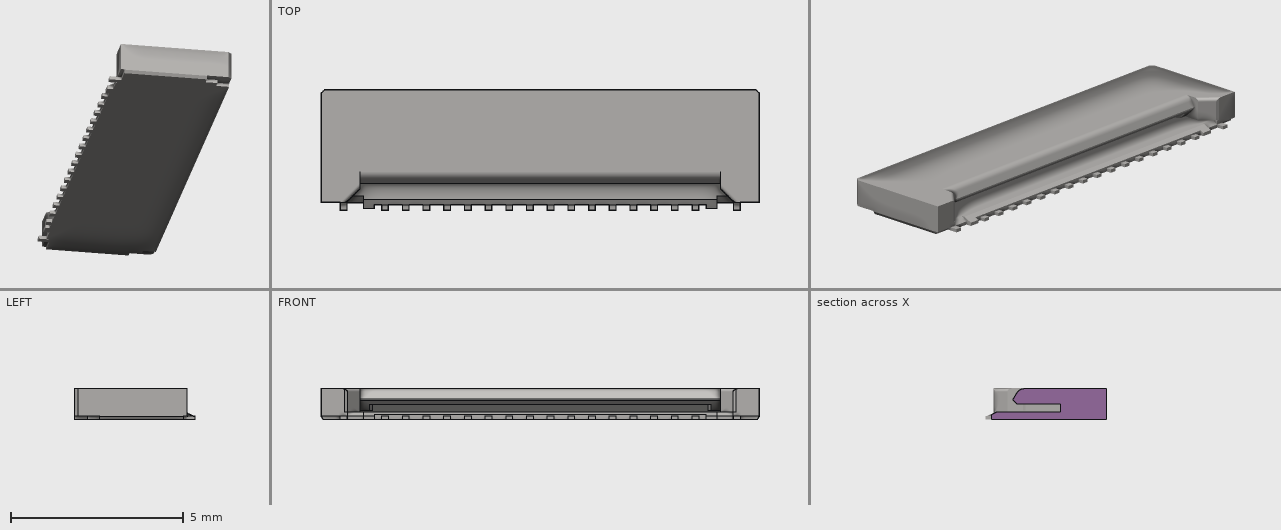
import cadquery as cq
import math

length = 12.7
depth = 3.5
height = 0.9
back_y = depth / 2
tip_y = -depth / 2

base_thickness = 0.1
tail_projection = 0.23
front_y = tip_y + tail_projection
back_corner_chamfer = 0.1

mouth_half_width = 5.22
funnel_depth = 0.37
flare_half_width = mouth_half_width + funnel_depth
funnel_relief = 0.08
funnel_relief_depth = 0.03
funnel_top_radius = 0.1
funnel_inner_y = front_y + funnel_depth + funnel_relief_depth
floor_z = 0.22

lip_tip_y = -0.965
lip_tip_top_z = 0.595
lip_tip_bottom_z = 0.555
lip_back_y = -0.64
lip_radius = 0.25
lip_arc_angle = math.radians(60)
ceiling_z = 0.44
ceiling_y = lip_tip_y + lip_tip_bottom_z - ceiling_z

slot_half_width = 4.87
slot_back_y = 0.4
guide_gap_z = 0.26
guide_chamfer = 0.08
guide_bottom_y = ceiling_y + ceiling_z - guide_gap_z
guide_taper_y = guide_bottom_y + guide_chamfer

tongue_half_width = 5.13
tongue_slope_y = -1.44
tongue_front_y = -1.7
tongue_middle_y = -1.59
tongue_middle_half_width = 4.81
side_slope_y = -1.34

base_front_y = -1.41
base_bevel_width = 0.05
base_bevel_height = 0.09
sill_projection = 0.01
rear_strip_y = 1.37
rear_step_y = 1.02
rear_strip_half_width = 5.9
rear_step_half_width = 6.1

tail_count = 16
tail_pitch = 0.6
tail_width = 0.2
nail_x = 5.7


def block(x_half, y_min, y_max, z_min, z_max):
    """Box centred on X = 0."""
    size = (2 * x_half, y_max - y_min, z_max - z_min)
    return cq.Workplane("XY").box(*size, centered=(True, False, False)).translate((0, y_min, z_min))


def extrude_along_x(sketch, half_width):
    """Extrude a closed YZ outline symmetrically about X = 0."""
    return sketch.close().extrude(half_width, both=True)


def extrude_mirrored(right_side, z_min, z_max):
    """Extrude upward a plan outline given by its right half and mirrored about X = 0."""
    left_side = [(-x, y) for x, y in reversed(right_side)]
    outline = cq.Workplane("XY", origin=(0, 0, z_min)).polyline(right_side + left_side).close()
    return outline.extrude(z_max - z_min)


def make_housing():
    """Plain housing block with chamfered rear corners."""
    body = block(length / 2, front_y, back_y, base_thickness, height)
    return body.edges("|Z and >Y").chamfer(back_corner_chamfer)


def make_funnel_cut():
    """Flared mouth above the floor, in front of the lip tip."""
    right_side = [
        (mouth_half_width, lip_tip_y),
        (mouth_half_width, funnel_inner_y),
        (flare_half_width, funnel_inner_y - funnel_depth),
        (flare_half_width + funnel_relief, front_y),
    ]
    return extrude_mirrored(right_side, floor_z, height)


def cut_funnel(body):
    """Open the flared mouth and round the top edges of its slanted walls."""
    opened = body.cut(make_funnel_cut())
    edge_y = funnel_inner_y - funnel_depth / 2
    edge_x = mouth_half_width + funnel_depth / 2
    for side in (1, -1):
        opened = opened.edges(cq.selectors.NearestToPointSelector((side * edge_x, edge_y, height)))
        opened = opened.fillet(funnel_top_radius)
    return opened


def lip_arc_point(angle):
    """Point (Y, Z) on the lip rounding, which starts tangent to the top face."""
    return (
        lip_back_y - lip_radius * math.sin(angle),
        height - lip_radius * (1 - math.cos(angle)),
    )


def make_lip_cut():
    """Space above the rounded front of the lip, down to the top of its tip."""
    outline = (
        cq.Workplane("YZ")
        .moveTo(lip_back_y, height)
        .threePointArc(lip_arc_point(lip_arc_angle / 2), lip_arc_point(lip_arc_angle))
        .lineTo(lip_tip_y, lip_tip_top_z)
        .lineTo(lip_tip_y, height)
    )
    return extrude_along_x(outline, mouth_half_width)


def make_mouth_underside_cut():
    """Space between the floor and the bevel running back from the lip tip."""
    outline = (
        cq.Workplane("YZ")
        .moveTo(lip_tip_y, lip_tip_bottom_z)
        .lineTo(guide_bottom_y, guide_gap_z)
        .lineTo(slot_back_y, guide_gap_z)
        .lineTo(slot_back_y, floor_z)
        .lineTo(lip_tip_y, floor_z)
    )
    return extrude_along_x(outline, mouth_half_width)


def make_slot_cut():
    """Cable slot with bevelled guides at its entrance corners."""
    entrance_half_width = slot_half_width + guide_chamfer
    right_side = [
        (entrance_half_width, ceiling_y),
        (entrance_half_width, guide_bottom_y),
        (slot_half_width, guide_taper_y),
        (slot_half_width, slot_back_y),
    ]
    return extrude_mirrored(right_side, floor_z, ceiling_z)


def make_side_slope_cut():
    """Ramp at the front of the floor on both sides of the tongue."""
    outline = (
        cq.Workplane("YZ")
        .moveTo(side_slope_y, floor_z)
        .lineTo(front_y, base_thickness)
        .lineTo(front_y, floor_z)
    )
    return extrude_along_x(outline, flare_half_width)


def make_tongue():
    """Tongue ahead of the floor, trimmed shorter between its two end blocks."""
    outline = (
        cq.Workplane("YZ")
        .moveTo(side_slope_y, 0)
        .lineTo(side_slope_y, floor_z)
        .lineTo(tongue_slope_y, floor_z)
        .lineTo(tongue_front_y, base_thickness)
        .lineTo(tongue_front_y, 0)
    )
    tongue = extrude_along_x(outline, tongue_half_width)
    return tongue.cut(block(tongue_middle_half_width, tongue_front_y, tongue_middle_y, 0, floor_z))


def make_base():
    """Base layer with bevelled lower side edges, a sill under the mouth and a stepped rear."""
    plate = block(length / 2, base_front_y, rear_step_y, 0, base_thickness)
    step = block(rear_step_half_width, rear_step_y, rear_strip_y, 0, base_thickness)
    strip = block(rear_strip_half_width, rear_strip_y, back_y, 0, base_thickness)
    plate = plate.faces("<X or >X").edges("<Z").chamfer(base_bevel_height, base_bevel_width)
    sill = block(flare_half_width, front_y - sill_projection, base_front_y, 0, base_thickness)
    return plate.union(sill).union(step).union(strip)


def make_tails():
    """Row of contact tails with one anchoring nail at each end."""
    contact_xs = [(i - (tail_count - 1) / 2) * tail_pitch for i in range(tail_count)]
    tails = cq.Workplane("XY")
    tail = block(tail_width / 2, tip_y, base_front_y, 0, base_thickness)
    for x in [-nail_x, *contact_xs, nail_x]:
        tails = tails.union(tail.translate((x, 0, 0)))
    return tails


housing = cut_funnel(make_housing())
for cut in (
    make_lip_cut(),
    make_mouth_underside_cut(),
    make_slot_cut(),
    make_side_slope_cut(),
):
    housing = housing.cut(cut)
result = housing.union(make_base()).union(make_tongue()).union(make_tails())